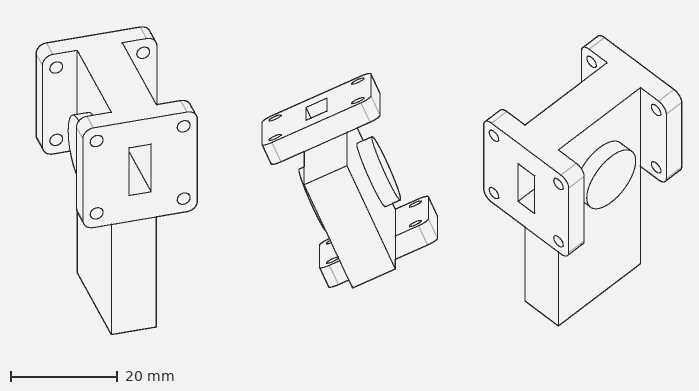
import cadquery as cq

length = 30.0
height = 50.0

flange_side = 22.4
flange_thickness = 4.1
flange_corner_radius = 2.05
flange_center_z = height - flange_side / 2

body_length = length - 2 * flange_thickness
body_depth = 8.8

window_width = 4.3
window_height = 10.7

bolt_diameter = 2.5
bolt_spacing_y = 17.0
bolt_spacing_z = 16.25

boss_diameter = 13.0
boss_span = 15.0
boss_center_z = height - 14.7


def end_plane(x):
    """YZ plane at the given X, centred on the waveguide axis."""
    return cq.Workplane("YZ", origin=(x, 0, flange_center_z))


def flange(start_x):
    """Rounded square flange with four bolt holes."""
    return (
        end_plane(start_x)
        .rect(flange_side, flange_side)
        .extrude(flange_thickness)
        .edges("|X")
        .fillet(flange_corner_radius)
        .faces(">X")
        .workplane(centerOption="CenterOfBoundBox")
        .rect(bolt_spacing_y, bolt_spacing_z, forConstruction=True)
        .vertices()
        .hole(bolt_diameter)
    )


body = cq.Workplane("XY").rect(body_length, body_depth).extrude(height)

bosses = (
    cq.Workplane("XZ", origin=(0, 0, boss_center_z))
    .circle(boss_diameter / 2)
    .extrude(boss_span / 2, both=True)
)

waveguide = end_plane(-length / 2).rect(window_width, window_height).extrude(length)

result = body.union(bosses)
for flange_start_x in (-length / 2, body_length / 2):
    result = result.union(flange(flange_start_x))
result = result.cut(waveguide)